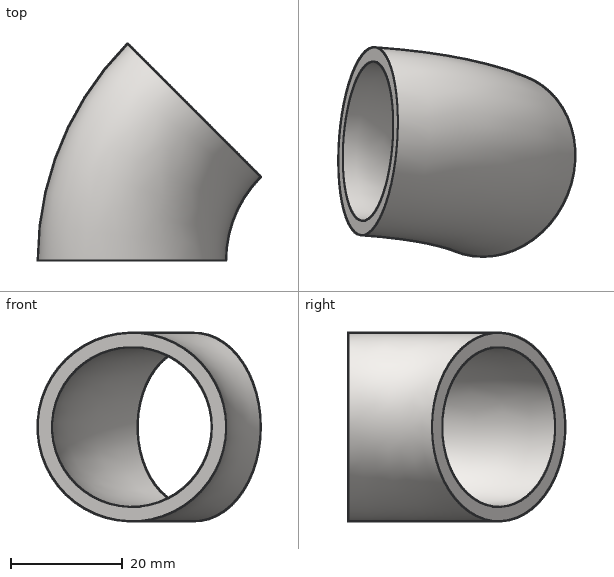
import cadquery as cq

outer_diameter = 33.7
wall_thickness = 2.6
bend_radius = 38.0
bend_angle = 45.0

inner_diameter = outer_diameter - 2 * wall_thickness


def make_elbow():
    """Revolve the pipe ring from the XZ plane about a vertical axis at the bend centre."""
    ring = cq.Workplane("XZ").circle(outer_diameter / 2).circle(inner_diameter / 2)
    return ring.revolve(bend_angle, (bend_radius, 0, 0), (bend_radius, -1, 0))


result = make_elbow()